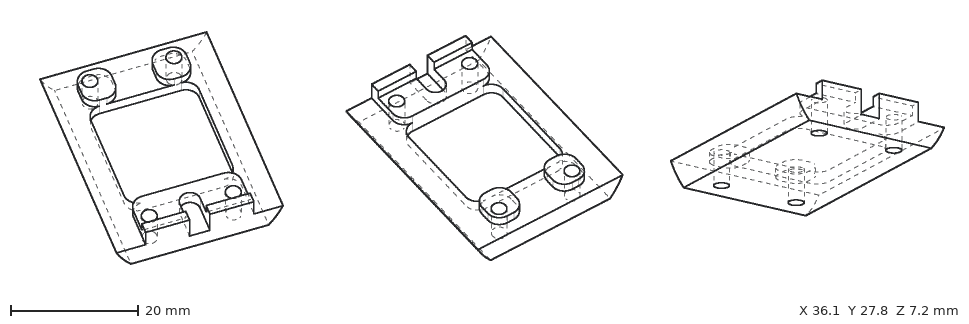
import cadquery as cq

length = 36.07
top_width = 27.77
bottom_width = 22.95
plate_height = 4.0
total_height = 7.2
side_bulge = 0.18

raised_half_width = 9.0
boss_height = 1.6
corner_radius = 2.2
boss_length = 6.02
boss_width = 5.6
lip_thickness = 1.8

layout_center_x = 0.05
pocket_length = 20.0
pocket_depth = 2.0

slot_width = 3.4
slot_length = 6.28
slot_recess = 1.0

hole_diameter = 2.5
hole_spacing_x = 28.0
hole_spacing_y = 14.0

end_x = length / 2
pocket_min_x = layout_center_x - pocket_length / 2
pocket_max_x = layout_center_x + pocket_length / 2
boss_top = plate_height + boss_height


def block(x_min, x_max, y_min, y_max, z_min, z_max):
    size = (x_max - x_min, y_max - y_min, z_max - z_min)
    return cq.Workplane("XY").box(*size, centered=False).translate((x_min, y_min, z_min))


def make_plate():
    """Plate with two convex long sides that lean inward towards the underside."""
    half_top = top_width / 2
    half_bottom = bottom_width / 2
    lean = half_top - half_bottom
    chord = (lean**2 + plate_height**2) ** 0.5
    bow_y = (half_top + half_bottom) / 2 + side_bulge * plate_height / chord
    bow_z = plate_height / 2 - side_bulge * lean / chord
    return (
        cq.Workplane("YZ")
        .workplane(offset=-end_x)
        .moveTo(-half_bottom, 0)
        .lineTo(half_bottom, 0)
        .threePointArc((bow_y, bow_z), (half_top, plate_height))
        .lineTo(-half_top, plate_height)
        .threePointArc((-bow_y, bow_z), (-half_bottom, 0))
        .close()
        .extrude(length)
    )


def make_boss(side):
    """Rounded screw boss at the -X end; side is +1 or -1 along Y."""
    inner_y = side * (raised_half_width - boss_width)
    outer_y = side * raised_half_width
    y_min, y_max = sorted((inner_y, outer_y))
    boss = block(pocket_min_x - boss_length, pocket_min_x, y_min, y_max, plate_height, boss_top)
    return boss.edges("|Z").fillet(corner_radius)


def make_pad():
    """Pad across the +X end with a raised lip along the plate's edge."""
    pad = block(pocket_max_x, end_x, -raised_half_width, raised_half_width, plate_height, boss_top)
    pad = pad.edges("|Z and <X").fillet(corner_radius)
    lip = block(
        end_x - lip_thickness, end_x, -raised_half_width, raised_half_width, plate_height, total_height
    )
    return pad.union(lip)


def make_pocket():
    """Rounded rectangular pocket between the bosses and the pad."""
    pocket = block(
        pocket_min_x, pocket_max_x,
        -raised_half_width, raised_half_width,
        plate_height - pocket_depth, plate_height,
    )
    return pocket.edges("|Z").fillet(corner_radius)


def make_slot():
    """Slot with a round inner end, cut through pad and lip into the plate."""
    slot_radius = slot_width / 2
    floor_z = plate_height - slot_recess
    round_x = end_x - slot_length + slot_radius
    slot = block(round_x, end_x, -slot_radius, slot_radius, floor_z, total_height)
    round_end = (
        cq.Workplane("XY")
        .workplane(offset=floor_z)
        .center(round_x, 0)
        .circle(slot_radius)
        .extrude(total_height - floor_z)
    )
    return slot.union(round_end)


def make_holes():
    """Four screw holes running right through the part."""
    return (
        cq.Workplane("XY")
        .center(layout_center_x, 0)
        .rect(hole_spacing_x, hole_spacing_y, forConstruction=True)
        .vertices()
        .circle(hole_diameter / 2)
        .extrude(total_height)
    )


result = make_plate().cut(make_pocket())
for side in (-1, 1):
    result = result.union(make_boss(side))
result = result.union(make_pad()).cut(make_slot())
result = result.cut(make_holes())